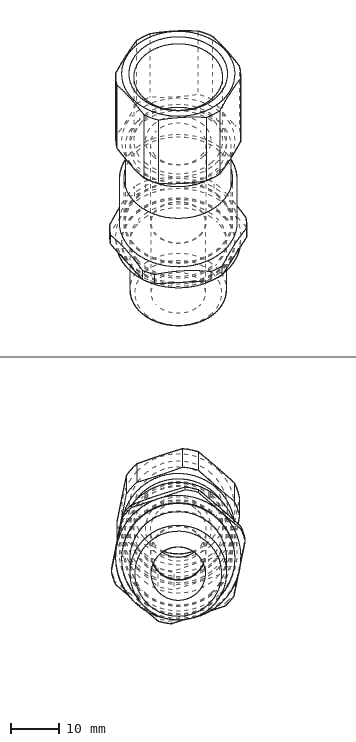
import cadquery as cq
import math

FLANGE_BOTTOM_Z = 16.1
ENTRY_HEX_BOTTOM_Z = 18.0
SHOULDER_Z = 22.1
SLEEVE_TOP_Z = 36.15
BARREL_TOP_Z = 45.8
CAP_HEX_BOTTOM_Z = 47.8
TOTAL_HEIGHT = 68.75

THREAD_RADIUS = 10.05
THREAD_CHAMFER = 1.0
ENTRY_FLATS = 26.0
ENTRY_CORNERS = 28.5
FLANGE_RADIUS = ENTRY_FLATS / 2
FLANGE_FILLET = 0.35
SLEEVE_RADIUS = 12.25
SLEEVE_FILLET = 0.5
ENTRY_BORE_RADIUS = 5.65
ENTRY_HEX_CHAMFER_ANGLE = 30.0

BARREL_RADIUS = 11.0
BARREL_CLEARANCE = 0.3
NECK_RADIUS = 10.05
CAP_FLATS = 24.0
CAP_CORNERS = 26.0
CAP_FACE_RADIUS = 11.75
CAP_HEX_CHAMFER_HEIGHT = 0.55
SOCKET_RADIUS = 9.2
SOCKET_CHAMFER = 1.0
SOCKET_FLOOR_Z = CAP_HEX_BOTTOM_Z
CAP_BORE_RADIUS = 5.8
CAP_BORE_CHAMFER = 1.0

RING_OUTER_RADIUS = 11.75
RING_SECTION_RADIUS = (RING_OUTER_RADIUS - THREAD_RADIUS) / 2
RING_CENTRE_RADIUS = RING_OUTER_RADIUS - RING_SECTION_RADIUS
RING_CENTRE_Z = 15.7
RECESS_TOP_Z = RING_CENTRE_Z + RING_SECTION_RADIUS


def revolve_profile(points):
    """Turn a closed (radius, z) outline around the Z axis."""
    return cq.Workplane("XZ").polyline(points).close().revolve(360, (0, 0, 0), (0, 1, 0))


def cylinder(radius, bottom_z, top_z):
    return cq.Workplane("XY").workplane(offset=bottom_z).circle(radius).extrude(top_z - bottom_z)


def hex_prism(across_flats, bottom_z, top_z):
    """Hexagonal prism with two of its flats facing +X and -X."""
    across_sharp_corners = across_flats / math.cos(math.radians(30))
    return (
        cq.Workplane("XY")
        .workplane(offset=bottom_z)
        .transformed(rotate=(0, 0, 30))
        .polygon(6, across_sharp_corners)
        .extrude(top_z - bottom_z)
    )


def chamfered_hole(radius, chamfer, bottom_z, top_z):
    """Cutter for a round hole with a 45 degree chamfer at its upper mouth."""
    return revolve_profile([
        (0, bottom_z),
        (radius, bottom_z),
        (radius, top_z - chamfer),
        (radius + chamfer, top_z),
        (0, top_z),
    ])


def make_entry_hex():
    """Hexagon with turned corners and a conical upper face rising to the sleeve."""
    corner_radius = ENTRY_CORNERS / 2
    chamfer_height = (corner_radius - SLEEVE_RADIUS) * math.tan(math.radians(ENTRY_HEX_CHAMFER_ANGLE))
    turned_blank = revolve_profile([
        (0, ENTRY_HEX_BOTTOM_Z),
        (corner_radius, ENTRY_HEX_BOTTOM_Z),
        (corner_radius, SHOULDER_Z - chamfer_height),
        (SLEEVE_RADIUS, SHOULDER_Z),
        (0, SHOULDER_Z),
    ])
    return hex_prism(ENTRY_FLATS, ENTRY_HEX_BOTTOM_Z, SHOULDER_Z).intersect(turned_blank)


def make_flange():
    """Round flange with a rounded lower edge and a recess for the sealing ring."""
    disc = cylinder(FLANGE_RADIUS, FLANGE_BOTTOM_Z, ENTRY_HEX_BOTTOM_Z)
    disc = disc.faces("<Z").edges().fillet(FLANGE_FILLET)
    return disc.cut(cylinder(RING_OUTER_RADIUS, FLANGE_BOTTOM_Z, RECESS_TOP_Z))


def make_sleeve():
    """Sleeve open at the top, wider inside than the cap's barrel by a small clearance."""
    sleeve = cylinder(SLEEVE_RADIUS, SHOULDER_Z, SLEEVE_TOP_Z).faces(">Z").edges().fillet(SLEEVE_FILLET)
    return sleeve.cut(cylinder(BARREL_RADIUS + BARREL_CLEARANCE, SHOULDER_Z, SLEEVE_TOP_Z))


def make_entry_body():
    thread = cylinder(THREAD_RADIUS, 0, ENTRY_HEX_BOTTOM_Z).faces("<Z").chamfer(THREAD_CHAMFER)
    bore = cylinder(ENTRY_BORE_RADIUS, 0, SHOULDER_Z)
    return thread.union(make_flange()).union(make_entry_hex()).union(make_sleeve()).cut(bore)


def make_cap_hex():
    """Hexagon with turned corners, chamfered at both ends."""
    corner_radius = CAP_CORNERS / 2
    turned_blank = revolve_profile([
        (0, CAP_HEX_BOTTOM_Z),
        (CAP_FACE_RADIUS, CAP_HEX_BOTTOM_Z),
        (corner_radius, CAP_HEX_BOTTOM_Z + CAP_HEX_CHAMFER_HEIGHT),
        (corner_radius, TOTAL_HEIGHT - CAP_HEX_CHAMFER_HEIGHT),
        (CAP_FACE_RADIUS, TOTAL_HEIGHT),
        (0, TOTAL_HEIGHT),
    ])
    return hex_prism(CAP_FLATS, CAP_HEX_BOTTOM_Z, TOTAL_HEIGHT).intersect(turned_blank)


def make_cap():
    """Cap whose barrel stands on the floor of the sleeve."""
    barrel = cylinder(BARREL_RADIUS, SHOULDER_Z, BARREL_TOP_Z)
    neck = cylinder(NECK_RADIUS, BARREL_TOP_Z, CAP_HEX_BOTTOM_Z)
    socket = chamfered_hole(SOCKET_RADIUS, SOCKET_CHAMFER, SOCKET_FLOOR_Z, TOTAL_HEIGHT)
    bore = chamfered_hole(CAP_BORE_RADIUS, CAP_BORE_CHAMFER, SHOULDER_Z, SOCKET_FLOOR_Z)
    return barrel.union(neck).union(make_cap_hex()).cut(socket).cut(bore)


def make_sealing_ring():
    """Round-section ring that hugs the thread and fills the flange recess."""
    return cq.Workplane("XY").add(
        cq.Solid.makeTorus(RING_CENTRE_RADIUS, RING_SECTION_RADIUS, cq.Vector(0, 0, RING_CENTRE_Z))
    )


entry_body = make_entry_body()
cap = make_cap()
sealing_ring = make_sealing_ring()

bodies = [entry_body, cap, sealing_ring]
result = cq.Compound.makeCompound([body.solids().val() for body in bodies])